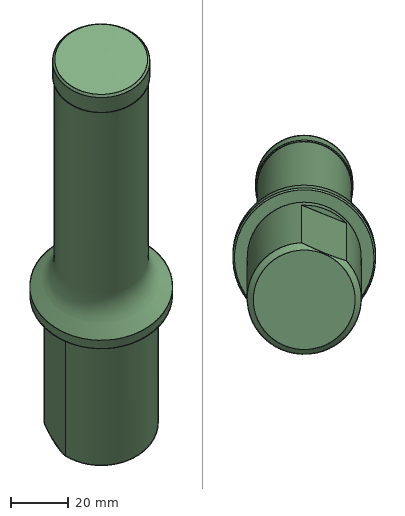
import cadquery as cq
import math

total_length = 197.0
head_length = 9.7
head_base = total_length - head_length

shank_radius = 40.0 / 2
shank_length = 70.0
shank_chamfer = 2.2
flat_top = 65.0
flat_distance = 18.1

flange_radius = 50.0 / 2
flange_rim_top = 75.0
flange_edge_chamfer = 0.5
neck_radius = 33.0 / 2
flare_radius = 14.0
flare_angle = math.radians(45)

head_radius = 34.0 / 2
head_bottom_chamfer = 0.4
rim_chamfer = 0.8
outer_cone_rise = 0.2
inner_cone_radius = 17.0 / 2
inner_cone_rise = 0.15
tip_flat_radius = 0.89


def make_holder():
    """Revolved shank, flange, flare and neck, with the flat cut into the shank."""
    flare_center_radius = neck_radius + flare_radius
    cone_top_radius = flare_center_radius - flare_radius * math.cos(flare_angle)
    cone_top = flange_rim_top + (flange_radius - cone_top_radius) / math.tan(flare_angle)
    flare_top = cone_top + flare_radius * math.sin(flare_angle)
    arc_middle = (
        flare_center_radius - flare_radius * math.cos(flare_angle / 2),
        flare_top - flare_radius * math.sin(flare_angle / 2),
    )

    body = (
        cq.Workplane("XZ")
        .moveTo(0, 0)
        .lineTo(shank_radius - shank_chamfer, 0)
        .lineTo(shank_radius, shank_chamfer)
        .lineTo(shank_radius, shank_length)
        .lineTo(flange_radius - flange_edge_chamfer, shank_length)
        .lineTo(flange_radius, shank_length + flange_edge_chamfer)
        .lineTo(flange_radius, flange_rim_top)
        .lineTo(cone_top_radius, cone_top)
        .threePointArc(arc_middle, (neck_radius, flare_top))
        .lineTo(neck_radius, head_base)
        .lineTo(0, head_base)
        .close()
        .revolve(360, (0, 0, 0), (0, 1, 0))
    )

    flat_cutter = cq.Workplane("XY").box(
        2 * shank_radius, shank_radius, flat_top, centered=(True, False, False)
    ).translate((0, -flat_distance - shank_radius, 0))
    return body.cut(flat_cutter)


def make_head():
    """Disc seated on the neck, with chamfered edges and a shallow conical end face."""
    inner_cone_base = total_length - inner_cone_rise
    rim_top = inner_cone_base - outer_cone_rise
    return (
        cq.Workplane("XZ")
        .moveTo(0, head_base)
        .lineTo(head_radius - head_bottom_chamfer, head_base)
        .lineTo(head_radius, head_base + head_bottom_chamfer)
        .lineTo(head_radius, rim_top - rim_chamfer)
        .lineTo(head_radius - rim_chamfer, rim_top)
        .lineTo(inner_cone_radius, inner_cone_base)
        .lineTo(tip_flat_radius, total_length)
        .lineTo(0, total_length)
        .close()
        .revolve(360, (0, 0, 0), (0, 1, 0))
    )


holder = make_holder()
head = make_head()
result = cq.Compound.makeCompound([holder.val(), head.val()])